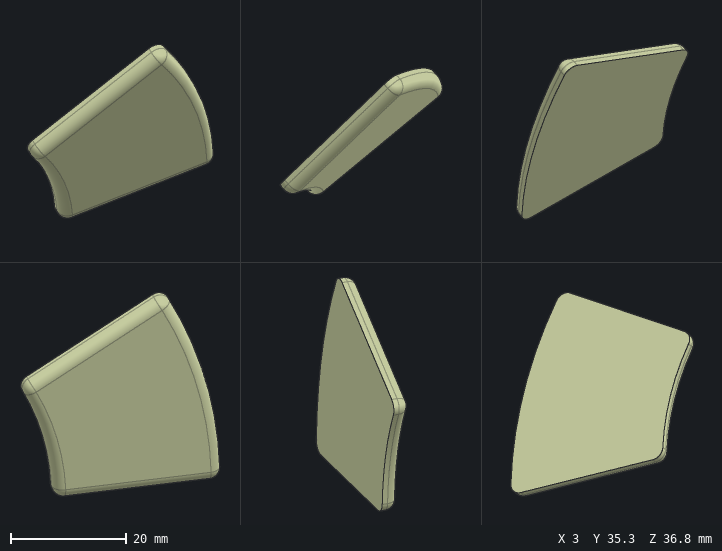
import cadquery as cq
import math

outer_radius = 75.0
inner_radius = 45.0
sector_angle = 30.0
thickness = 3.0
corner_radius = 2.0
edge_radius = 2.0


def polar_point(radius, angle):
    """Point in the YZ plane at a given radius and angle in degrees."""
    angle_rad = math.radians(angle)
    return (radius * math.cos(angle_rad), radius * math.sin(angle_rad))


def make_sector_plate():
    """Flat annular sector with rounded corners, back face on X = 0."""
    middle_angle = sector_angle / 2
    sector = (
        cq.Workplane("YZ")
        .moveTo(*polar_point(inner_radius, 0))
        .lineTo(*polar_point(outer_radius, 0))
        .threePointArc(
            polar_point(outer_radius, middle_angle),
            polar_point(outer_radius, sector_angle),
        )
        .lineTo(*polar_point(inner_radius, sector_angle))
        .threePointArc(
            polar_point(inner_radius, middle_angle),
            polar_point(inner_radius, 0),
        )
        .close()
        .extrude(thickness)
    )
    return sector.edges("|X").fillet(corner_radius)


def round_front_rim(plate):
    """Round every edge around the +X face."""
    return plate.faces(">X").edges().fillet(edge_radius)


result = round_front_rim(make_sector_plate())